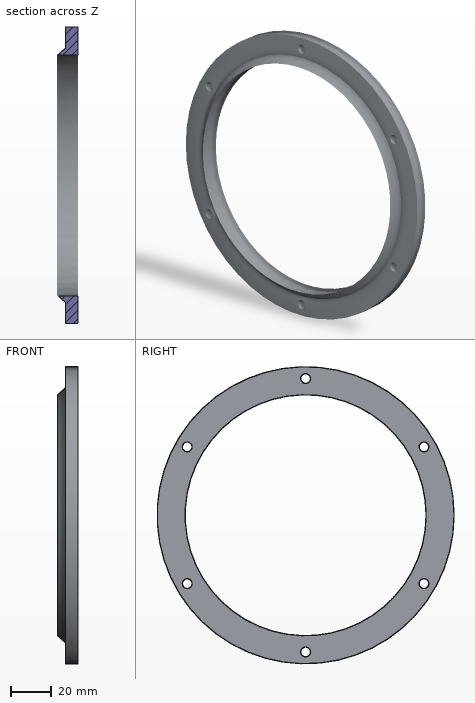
import cadquery as cq

outer_diameter = 148.4
total_depth = 10.4
flange_thickness = 6.4
bore_diameter = 120.2

lip_base_diameter = 127.3

hole_count = 6
hole_diameter = 4.7
bolt_circle_diameter = 136.5

lip_depth = total_depth - flange_thickness
outer_radius = outer_diameter / 2
bore_radius = bore_diameter / 2
lip_base_radius = lip_base_diameter / 2


def ring_body():
    """Revolve the half section (X along the axis, Y as radius) about the X axis."""
    section = (
        cq.Workplane("XY")
        .moveTo(0, bore_radius)
        .lineTo(lip_depth, lip_base_radius)
        .lineTo(lip_depth, outer_radius)
        .lineTo(total_depth, outer_radius)
        .lineTo(total_depth, bore_radius)
        .close()
    )
    return section.revolve(360, (0, 0, 0), (1, 0, 0))


def bolt_holes():
    """Through-hole cutters, the first one at the top of the ring."""
    return (
        cq.Workplane("YZ")
        .polarArray(bolt_circle_diameter / 2, 90, 360, hole_count)
        .circle(hole_diameter / 2)
        .extrude(total_depth)
    )


result = ring_body().cut(bolt_holes())